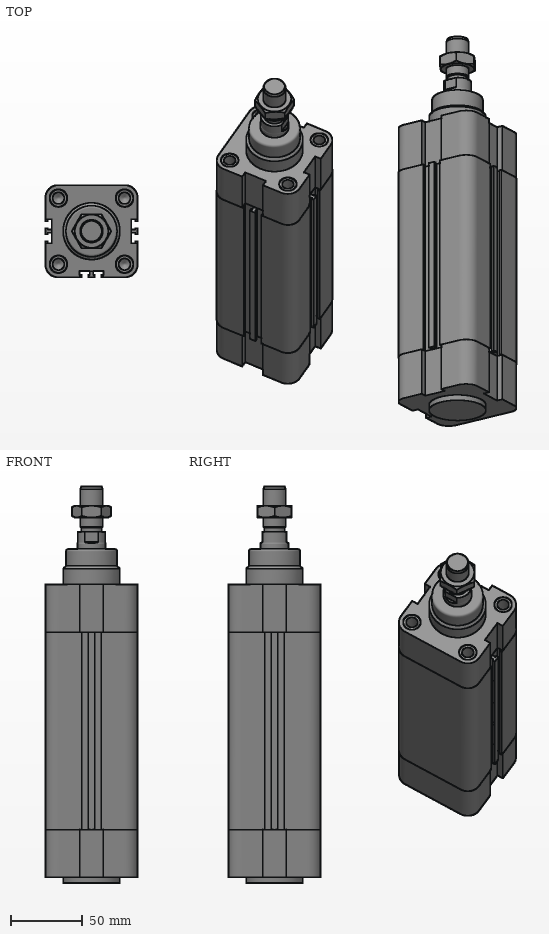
import cadquery as cq
import math

total_length = 279
body_width = 65
cap_corner_radius = 9.5
barrel_corner_radius = 9
rear_boss_height = 4
body_length = 206
cap_length = 33.5

rear_cap_bottom = rear_boss_height
barrel_bottom = rear_cap_bottom + cap_length
body_top = rear_cap_bottom + body_length
front_cap_bottom = body_top - cap_length
barrel_length = front_cap_bottom - barrel_bottom

groove_width = 16.6
groove_depth = 4.5
groove_mouth = 14
lip_thickness = 1.8
rib_head_width = 4.4
rib_neck_width = 2.5
groove_angles = (0, 90, 180)

boss_diameter = 40
collar_diameter = 36
boss_top = body_top + 13
boss_chamfer_height = 1.8
collar_top = body_top + 25
collar_fillet = 1.7

screw_pitch = 46.5
recess_diameter = 12.5
recess_floor_diameter = 12
recess_depth = 0.25
screw_hole_diameter = 8.2
screw_hole_depth = 16
drill_point_angle = 118

rod_diameter = 20
rod_end_diameter = 19.5
rod_end_length = 7.6
rod_end_taper_length = 0.9
thread_diameter = 16
thread_length = 32
thread_end_chamfer_height = 2
relief_diameter = 14.5
relief_length = 3
rod_shoulder = total_length - thread_length
flats_width = 17
flats_length = 7
flats_runout_length = 1.2

nut_across_flats = 24
nut_height = 8.5
nut_bottom = total_length - 22
nut_chamfer_diameter = 23.4
nut_chamfer_angle = 30


def square_column(bottom, length, corner_radius):
    """Square column with rounded vertical corners."""
    return (
        cq.Workplane("XY")
        .workplane(offset=bottom)
        .rect(body_width, body_width)
        .extrude(length)
        .edges("|Z")
        .fillet(corner_radius)
    )


def face_strip(width, inner, outer, bottom, length):
    """Strip at the -Y face; inner and outer are depths below that face."""
    return (
        cq.Workplane("XY")
        .workplane(offset=bottom)
        .center(0, -body_width / 2 + (inner + outer) / 2)
        .rect(width, inner - outer)
        .extrude(length)
    )


def turned_about_z(strip):
    """Copies of a -Y strip on each grooved face."""
    axis_start = (0, 0, 0)
    axis_end = (0, 0, 1)
    return [strip.rotate(axis_start, axis_end, angle - 90) for angle in groove_angles]


def cylinder(diameter, bottom, top):
    return cq.Workplane("XY").workplane(offset=bottom).circle(diameter / 2).extrude(top - bottom)


def grooved_cap(bottom):
    """End cap block with one plain groove on each grooved face."""
    cap = square_column(bottom, cap_length, cap_corner_radius)
    for groove in turned_about_z(face_strip(groove_width, groove_depth, 0, bottom, cap_length)):
        cap = cap.cut(groove)
    return cap


def screw_hole():
    """Recessed blind hole with a drill point, on the Z axis below the body top."""
    hole_radius = screw_hole_diameter / 2
    point_depth = hole_radius / math.tan(math.radians(drill_point_angle / 2))
    hole_bottom = body_top - screw_hole_depth
    return (
        cq.Workplane("XZ")
        .moveTo(0, body_top)
        .lineTo(recess_diameter / 2, body_top)
        .lineTo(recess_floor_diameter / 2, body_top - recess_depth)
        .lineTo(hole_radius, body_top - recess_depth)
        .lineTo(hole_radius, hole_bottom)
        .lineTo(0, hole_bottom - point_depth)
        .close()
        .revolve(360, (0, 0, 0), (0, 1, 0))
    )


def make_rear_cap():
    return grooved_cap(rear_cap_bottom).union(cylinder(boss_diameter, 0, rear_cap_bottom))


def make_barrel():
    """Profiled body; each groove is a pair of hooked slots on either side of a T-shaped rib."""
    barrel = square_column(barrel_bottom, barrel_length, barrel_corner_radius)
    cavity = face_strip(groove_width, groove_depth, lip_thickness, barrel_bottom, barrel_length)
    mouth = face_strip(groove_mouth, lip_thickness, 0, barrel_bottom, barrel_length)
    rib_neck = face_strip(rib_neck_width, groove_depth, lip_thickness, barrel_bottom, barrel_length)
    rib_head = face_strip(rib_head_width, lip_thickness, 0, barrel_bottom, barrel_length)
    for slots in turned_about_z(cavity.union(mouth).cut(rib_neck).cut(rib_head)):
        barrel = barrel.cut(slots)
    return barrel


def make_front_cap():
    boss_step = (boss_diameter - collar_diameter) / 2
    boss = cylinder(boss_diameter, body_top, boss_top).faces(">Z").chamfer(boss_chamfer_height, boss_step)
    collar = cylinder(collar_diameter, body_top, collar_top).faces(">Z").fillet(collar_fillet)
    cap = grooved_cap(front_cap_bottom).union(boss).union(collar)
    for x_side in (-1, 1):
        for y_side in (-1, 1):
            place = (x_side * screw_pitch / 2, y_side * screw_pitch / 2, 0)
            cap = cap.cut(screw_hole().translate(place))
    return cap.cut(cylinder(rod_diameter, front_cap_bottom, collar_top))


def wrench_flat(y_side):
    """Cutter for one wrench flat, whose lower end slopes out to the rod surface."""
    flat_y = y_side * flats_width / 2
    rod_y = y_side * rod_diameter / 2
    flat_bottom = rod_shoulder - flats_length
    return (
        cq.Workplane("YZ")
        .moveTo(flat_y, rod_shoulder)
        .lineTo(flat_y, flat_bottom)
        .lineTo(rod_y, flat_bottom - flats_runout_length)
        .lineTo(rod_y, rod_shoulder)
        .close()
        .extrude(rod_diameter / 2, both=True)
    )


def make_rod():
    """Rod with a turned-down end, two wrench flats, a thread relief and a thread."""
    relief_top = rod_shoulder + relief_length
    thread_chamfer_reach = (thread_diameter - relief_diameter) / 2
    rod_end_bottom = rod_shoulder - rod_end_length
    rod_end_step = (rod_diameter - rod_end_diameter) / 2
    rod = cylinder(rod_diameter, front_cap_bottom, rod_end_bottom)
    rod = rod.faces(">Z").chamfer(rod_end_taper_length, rod_end_step)
    rod = rod.union(cylinder(rod_end_diameter, rod_end_bottom, rod_shoulder))
    thread = cylinder(thread_diameter, relief_top, total_length)
    thread = thread.faces("<Z").chamfer(thread_chamfer_reach)
    thread = thread.faces(">Z").chamfer(thread_end_chamfer_height, thread_chamfer_reach)
    relief = cylinder(relief_diameter, rod_shoulder, relief_top)
    for y_side in (-1, 1):
        rod = rod.cut(wrench_flat(y_side))
    return rod.union(relief).union(thread)


def make_nut():
    """Hexagon nut with corners along X and both ends chamfered conically."""
    corner_diameter = nut_across_flats / math.cos(math.pi / 6)
    chamfer_reach = (corner_diameter - nut_chamfer_diameter) / 2
    chamfer_height = chamfer_reach * math.tan(math.radians(nut_chamfer_angle))
    nut_top = nut_bottom + nut_height
    hexagon = cq.Workplane("XY").workplane(offset=nut_bottom).polygon(6, corner_diameter).extrude(nut_height)
    envelope = cylinder(corner_diameter, nut_bottom, nut_top)
    envelope = envelope.faces("<Z or >Z").chamfer(chamfer_height, chamfer_reach)
    return hexagon.intersect(envelope).cut(cylinder(thread_diameter, nut_bottom, nut_top))


rear_cap = make_rear_cap()
barrel = make_barrel()
front_cap = make_front_cap()
rod = make_rod()
nut = make_nut()

result = cq.Compound.makeCompound([rear_cap.val(), barrel.val(), front_cap.val(), rod.val(), nut.val()])